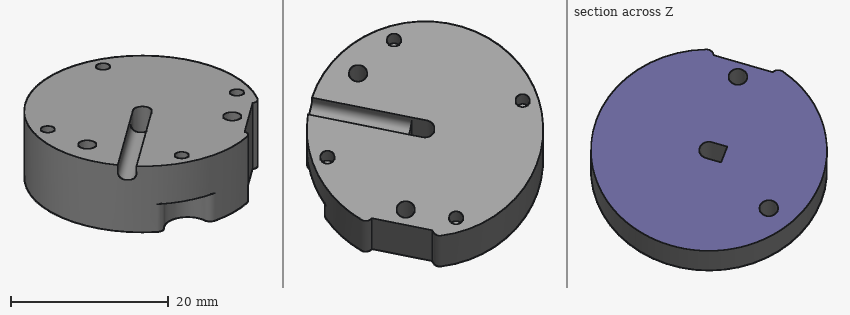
import cadquery as cq
import math

disc_radius = 15.0
disc_height = 9.5

flat_angle = 30.0
pocket_angle = -30.0
slot_angle = -60.0
through_hole_angles = (30.0, -90.0)
blind_hole_angles = (-120.0, -30.0, 60.0, 150.0)

through_hole_diameter = 2.3
through_hole_orbit = 11.5
blind_hole_diameter = 1.8
blind_hole_orbit = 13.0
blind_hole_depth = 3.0

slot_width = 2.4
slot_through_length = 2.0
channel_depth = 2.0
channel_bottom_radius = 1.0

flat_distance = 13.6
flat_lip_radius = 1.0
flat_lip_half_angle = 20.1

pocket_radius = 3.0
pocket_height = 4.0
pocket_lip_radius = 1.0


def polar_point(radius, angle):
    """Point in the XY plane at a radius and an angle in degrees."""
    return (radius * math.cos(math.radians(angle)), radius * math.sin(math.radians(angle)))


def turned(body, angle):
    """Turn a body drawn along +X to an angle about the disc axis."""
    return body.rotate((0, 0, 0), (0, 0, 1), angle)


def radial_block(start, end, width, bottom, top):
    """Block along +X from start to end, centred on the X axis."""
    block = cq.Workplane("XY").box(end - start, width, top - bottom, centered=(False, True, False))
    return block.translate((start, 0, bottom))


def hole_ring(diameter, orbit, angles, bottom):
    """Cylinders from a bottom level up to the top face, one at each angle."""
    points = [polar_point(orbit, angle) for angle in angles]
    ring = cq.Workplane("XY").workplane(offset=bottom).pushPoints(points)
    return ring.circle(diameter / 2).extrude(disc_height - bottom)


def notch_cutter():
    """Full-height cutter bounded by the flat and its two convex lips."""
    lip_x, lip_y = polar_point(disc_radius - flat_lip_radius, flat_lip_half_angle)
    rim_x, rim_y = polar_point(disc_radius, flat_lip_half_angle)
    flat_half_width = lip_y - math.sqrt(flat_lip_radius**2 - (flat_distance - lip_x) ** 2)

    flat_end_angle = math.degrees(math.atan2(flat_half_width - lip_y, flat_distance - lip_x))
    mid_x, mid_y = polar_point(flat_lip_radius, (flat_end_angle + flat_lip_half_angle) / 2)
    mid_x += lip_x
    mid_y += lip_y

    outer_x = disc_radius + flat_lip_radius
    outline = (
        cq.Workplane("XY")
        .moveTo(flat_distance, -flat_half_width)
        .lineTo(flat_distance, flat_half_width)
        .threePointArc((mid_x, mid_y), (rim_x, rim_y))
        .lineTo(outer_x, rim_y)
        .lineTo(outer_x, -rim_y)
        .lineTo(rim_x, -rim_y)
        .threePointArc((mid_x, -mid_y), (flat_distance, -flat_half_width))
        .close()
    )
    return turned(outline.extrude(disc_height), flat_angle)


def cut_rim_pocket(body):
    """Cut the round pocket and round the two vertical edges where it meets the rim."""
    centre_x, centre_y = polar_point(disc_radius, pocket_angle)
    body = body.cut(cq.Workplane("XY").center(centre_x, centre_y).circle(pocket_radius).extrude(pocket_height))
    half_angle = math.degrees(2 * math.asin(pocket_radius / 2 / disc_radius))
    for side in (-1, 1):
        x, y = polar_point(disc_radius, pocket_angle + side * half_angle)
        lip = cq.selectors.NearestToPointSelector((x, y, pocket_height / 2))
        body = body.edges("|Z").edges(lip).fillet(pocket_lip_radius)
    return body


def slot_cutter():
    """Through slot with a round inner end, plus the channel running off the rim."""
    overshoot = disc_radius + slot_width
    channel = radial_block(slot_through_length, overshoot, slot_width, disc_height - channel_depth, disc_height)
    channel = channel.faces("<Z").edges("|X").fillet(channel_bottom_radius)
    through = radial_block(0, slot_through_length, slot_width, 0, disc_height)
    round_end = cq.Workplane("XY").circle(slot_width / 2).extrude(disc_height)
    return turned(through.union(round_end).union(channel), slot_angle)


blind_hole_bottom = disc_height - blind_hole_depth

result = cq.Workplane("XY").circle(disc_radius).extrude(disc_height)
result = result.cut(notch_cutter())
result = cut_rim_pocket(result)
result = result.cut(slot_cutter())
result = result.cut(hole_ring(through_hole_diameter, through_hole_orbit, through_hole_angles, 0))
result = result.cut(hole_ring(blind_hole_diameter, blind_hole_orbit, blind_hole_angles, blind_hole_bottom))